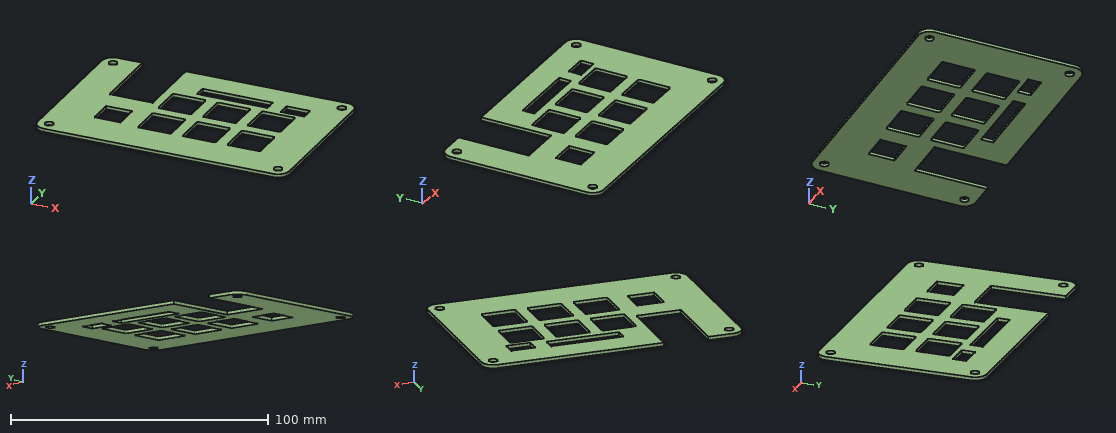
import cadquery as cq

length = 107.6
width = 69.8
thickness = 1.5
corner_radius = 5.0

hole_diameter = 3.4
hole_inset = corner_radius

notch_width = 18.3
notch_depth = 31.0
notch_x = -29.3

key_size = 14.0
key_radius = 0.5
key_pitch = 19.0
key_columns = 3
key_rows = 2
key_grid_x = 9.9
key_grid_y = -2.0

square_size = 11.0
square_x = -29.7
square_y = -11.8

slot_length = 29.9
slot_width = 5.1
slot_x = 7.4
slot_y = 20.7
window_length = 9.9
window_width = 5.5
window_x = 33.7
window_y = 19.7


def rectangular_cutter(size_x, size_y, x, y):
    """Block that cuts a rectangular opening centred at (x, y)."""
    return cq.Workplane("XY").center(x, y).rect(size_x, size_y).extrude(thickness)


def key_cutters():
    """Grid of round-cornered key openings."""
    return (
        cq.Workplane("XY")
        .center(key_grid_x, key_grid_y)
        .rarray(key_pitch, key_pitch, key_columns, key_rows)
        .rect(key_size, key_size)
        .extrude(thickness)
        .edges("|Z")
        .fillet(key_radius)
    )


def mounting_hole_cutters():
    """One through hole near each corner."""
    return (
        cq.Workplane("XY")
        .rect(length - 2 * hole_inset, width - 2 * hole_inset, forConstruction=True)
        .vertices()
        .circle(hole_diameter / 2)
        .extrude(thickness)
    )


plate = cq.Workplane("XY").rect(length, width).extrude(thickness)
plate = plate.edges("|Z").fillet(corner_radius)

notch_y = width / 2 - notch_depth / 2

result = (
    plate.cut(mounting_hole_cutters())
    .cut(key_cutters())
    .cut(rectangular_cutter(notch_width, notch_depth, notch_x, notch_y))
    .cut(rectangular_cutter(square_size, square_size, square_x, square_y))
    .cut(rectangular_cutter(slot_length, slot_width, slot_x, slot_y))
    .cut(rectangular_cutter(window_length, window_width, window_x, window_y))
)